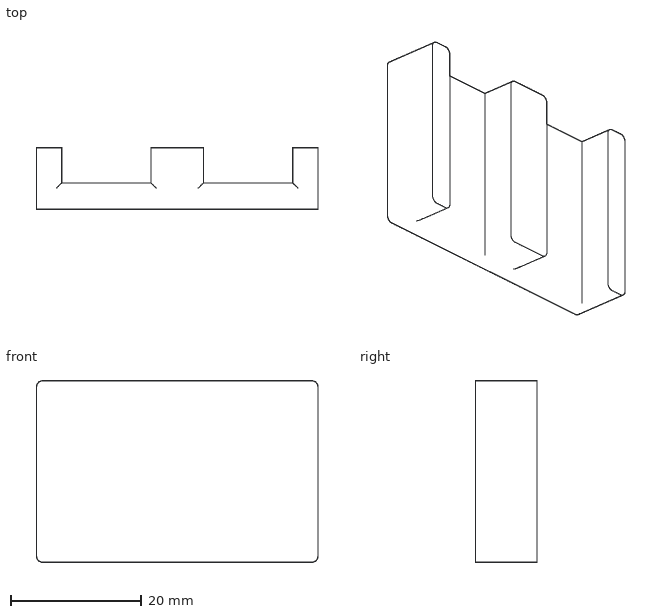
import cadquery as cq

length = 43.2
depth = 9.5
height = 27.9
edge_radius = 1.0

plate_thickness = 4.1
wall_thickness = 3.9
rib_width = 8.1

channel_width = (length - rib_width) / 2 - wall_thickness
channel_depth = depth - plate_thickness
channel_offset = (rib_width + channel_width) / 2

selection_margin = 0.1


def make_block():
    """Plain block, plate face at Y = 0, with its four Y-direction edges rounded."""
    block = cq.Workplane("XY").box(length, depth, height).translate((0, depth / 2, 0))
    return block.edges("|Y").fillet(edge_radius)


def cut_channel(body, center_x):
    """Cut a channel through the full height, open at the back."""
    center_y = plate_thickness + channel_depth / 2
    cutter = cq.Workplane("XY").box(channel_width, channel_depth, height)
    return body.cut(cutter.translate((center_x, center_y, 0)))


def round_channel_mouth(body, center_x, end_z):
    """Round the three edges where a channel meets the end face at end_z."""
    half_width = channel_width / 2 + selection_margin
    mouth = cq.selectors.BoxSelector(
        (center_x - half_width, plate_thickness - selection_margin, end_z - selection_margin),
        (center_x + half_width, depth + selection_margin, end_z + selection_margin),
    )
    return body.edges(mouth).fillet(edge_radius)


result = make_block()
for channel_x in (-channel_offset, channel_offset):
    result = cut_channel(result, channel_x)
    for end_z in (-height / 2, height / 2):
        result = round_channel_mouth(result, channel_x, end_z)